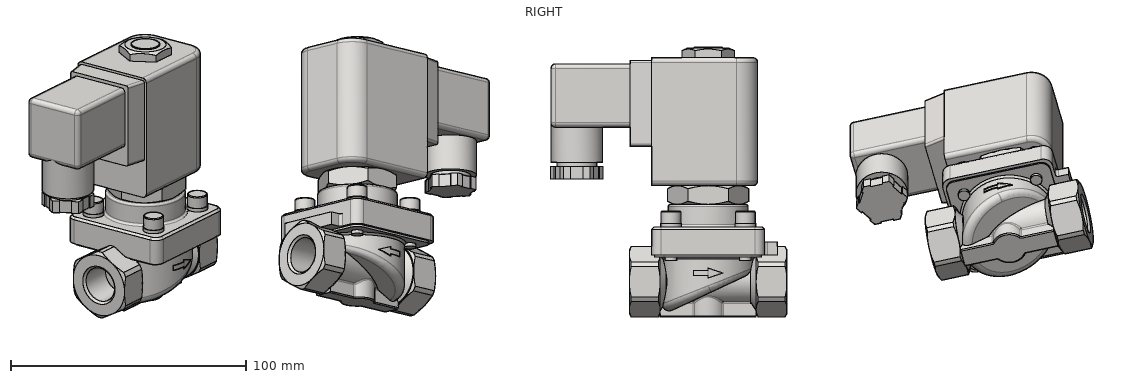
import cadquery as cq
import math

COS30 = math.cos(math.radians(30))

PORT_LENGTH = 67.0
PORT_HEX_FLATS = 27.0
PORT_HEX_ROUND_D = 30.0
PORT_HEX_INNER_Y = 20.4
PORT_HEX_DROP = 0.8
PORT_BORE_D = 14.95
PORT_MOUTH_D = 17.0
PORT_BORE_DEPTH = 15.0
port_end_y = PORT_LENGTH / 2

PIPE_R = 9.65
NECK_Y = 18.0
NECK_R = 13.0
BOWL_R = 20.0
BOWL_FLOOR_Z = -5.0
BOWL_FLARE = 0.9
BOWL_FLOOR_SLOPE = 25.0
BOWL_EDGE_R = 3.0
BOSS_R = 7.4
WEB_WIDTH = 8.4
WEB_ROOT_R = 0.8
FOOT_CHAMFER = 0.5
body_bottom_z = -PORT_HEX_ROUND_D / 2

ARROW_Z = 3.7
ARROW_LENGTH = 12.4
ARROW_HEAD_HEIGHT = 4.2
ARROW_SHAFT_HEIGHT = 2.2
ARROW_RELIEF = 0.4

FLANGE_SIZE = 48.0
FLANGE_CORNER_R = 4.0
FLANGE_CHAMFER = 1.0
FLANGE_BOTTOM_Z = 11.4
FLANGE_TOP_Z = 23.3
SEAT_SIZE = 45.4
SEAT_THICKNESS = 0.9
TAB_WIDTH = 27.9
TAB_REACH = 5.4
TAB_HEIGHT = 5.5
TAB_ROOT_R = 1.2
COLLAR_D = 34.0
COLLAR_TOP_Z = 32.9
COLLAR_EDGE_R = 1.0
seat_bottom_z = FLANGE_BOTTOM_Z - SEAT_THICKNESS

SCREW_PITCH = 31.6
SCREW_HEAD_D = 8.5
SCREW_HEAD_CHAMFER = 0.4
SCREW_TOP_Z = 30.0
WASHER_D = 8.9
WASHER_THICKNESS = 1.5
SCREW_SHANK_D = 5.0
SCREW_END_Z = 9.0

STEM_NUT_FLATS = 30.0
STEM_NUT_DROP = 1.3
COIL_BOTTOM_Z = 40.8
COIL_TOP_Z = 95.2
COIL_WIDTH = 36.0
COIL_FRONT_Y = -24.0
COIL_BACK_Y = 21.0
COIL_CORNER_R = 9.0
COIL_EDGE_R = 2.0
TOP_NUT_FLATS = 19.4
TOP_NUT_FACE_D = 17.5
TOP_NUT_DROP = 1.1
TOP_NUT_TOP_Z = 99.3
STUD_D = 12.4
STUD_CHAMFER = 0.3
STUD_TOP_Z = 99.7

ADAPTER_END_Y = -33.2
ADAPTER_WIDTH = 34.0
ADAPTER_END_WIDTH = 30.2
ADAPTER_BOTTOM_Z = 57.5
ADAPTER_TOP_Z = 94.1
ADAPTER_EDGE_R = 1.0
PLUG_END_Y = -66.8
PLUG_SIZE = 27.0
PLUG_TOP_Z = 92.6
PLUG_EDGE_R = 2.0
OUTLET_D = 22.0
OUTLET_BOTTOM_Z = 50.7
GLAND_NECK_D = 17.0
GLAND_TOP_Z = 49.0
GLAND_BOTTOM_Z = 43.6
GLAND_FLATS = 19.4
GLAND_RECESS_WIDTH = 5.2
GLAND_RECESS_DEPTH = 0.6
plug_bottom_z = PLUG_TOP_Z - PLUG_SIZE
outlet_y = PLUG_END_Y + OUTLET_D / 2


def block(width, y_start, y_end, z_bottom, z_top):
    """Box centred on x = 0."""
    depth = y_end - y_start
    return (
        cq.Workplane("XY")
        .box(width, depth, z_top - z_bottom, centered=(True, False, False))
        .translate((0, y_start, z_bottom))
    )


def disc(diameter, z_bottom, z_top, x=0.0, y=0.0):
    """Vertical cylinder."""
    height = z_top - z_bottom
    return cq.Workplane("XY").circle(diameter / 2).extrude(height).translate((x, y, z_bottom))


def turned(profile):
    """Solid of revolution about Z from (radius, height) points."""
    return cq.Workplane("XZ").polyline(profile).close().revolve(360, (0, 0, 0), (0, 1, 0))


def hexagon(flats, height):
    """Hexagonal prism standing on z = 0 with corners on the Y axis."""
    prism = cq.Workplane("XY").polygon(6, flats / COS30).extrude(height)
    return prism.rotate((0, 0, 0), (0, 0, 1), 30)


def chamfered_hexagon(flats, height, rim_r, face_r, drop):
    """Hexagonal prism turned down to rim_r and coned to face_r at both ends."""
    envelope = turned([
        (0, 0),
        (face_r, 0),
        (rim_r, drop),
        (rim_r, height - drop),
        (face_r, height),
        (0, height),
    ])
    return hexagon(flats, height).intersect(envelope)


def make_port():
    """Hexagonal pipe end on the +Y side with its coned neck."""
    height = port_end_y - PORT_HEX_INNER_Y
    face_r = PORT_HEX_FLATS / 2
    rim_r = PORT_HEX_ROUND_D / 2
    port = chamfered_hexagon(PORT_HEX_FLATS, height, rim_r, face_r, PORT_HEX_DROP)
    neck_length = PORT_HEX_INNER_Y - NECK_Y
    neck = turned([(0, 0), (NECK_R, 0), (PIPE_R, -neck_length), (0, -neck_length)])
    port = port.union(neck)
    return port.rotate((0, 0, 0), (1, 0, 0), -90).translate((0, PORT_HEX_INNER_Y, 0))


def make_bore():
    """Blind bore of the +Y port with its chamfered mouth."""
    mouth_depth = (PORT_MOUTH_D - PORT_BORE_D) / 2
    bore = turned([
        (0, 0),
        (PORT_MOUTH_D / 2, 0),
        (PORT_BORE_D / 2, -mouth_depth),
        (PORT_BORE_D / 2, -PORT_BORE_DEPTH),
        (0, -PORT_BORE_DEPTH),
    ])
    return bore.rotate((0, 0, 0), (1, 0, 0), -90).translate((0, port_end_y, 0))


def make_bowl():
    """Round chamber with a sloping floor that is higher on the +Y side."""
    rise = BOWL_R * math.tan(math.radians(BOWL_FLOOR_SLOPE))
    side = (
        cq.Workplane("YZ")
        .polyline([
            (-BOWL_R, BOWL_FLOOR_Z - rise),
            (BOWL_R, BOWL_FLOOR_Z + rise),
            (BOWL_R, seat_bottom_z),
            (-BOWL_R, seat_bottom_z),
        ])
        .close()
        .extrude(BOWL_R, both=True)
    )
    bowl = disc(2 * BOWL_R, BOWL_FLOOR_Z - rise, seat_bottom_z).intersect(side)
    return bowl.faces("<Z").edges().fillet(BOWL_EDGE_R)


def make_flare():
    """Coned rim where the bowl widens into the seat plate."""
    flare_bottom_z = seat_bottom_z - BOWL_FLARE
    return turned([
        (0, flare_bottom_z),
        (BOWL_R, flare_bottom_z),
        (BOWL_R + BOWL_FLARE, seat_bottom_z),
        (0, seat_bottom_z),
    ])


def make_foot():
    """Bottom web between the ports with the round boss in its middle."""
    web = block(WEB_WIDTH, -PORT_HEX_INNER_Y, PORT_HEX_INNER_Y, body_bottom_z, 0)
    boss = disc(2 * BOSS_R, body_bottom_z, 0)
    foot = web.union(boss)
    inner_corners = cq.selectors.BoxSelector(
        (-BOSS_R, -BOSS_R, body_bottom_z), (BOSS_R, BOSS_R, 0)
    )
    foot = foot.edges("|Z").edges(inner_corners).fillet(WEB_ROOT_R)
    return foot.faces("<Z").edges("not #Y").chamfer(FOOT_CHAMFER)


def make_arrows():
    """Arrows toward +Y standing proud of the bowl on both sides."""
    tip = ARROW_LENGTH / 2
    head = ARROW_HEAD_HEIGHT / 2
    shaft = ARROW_SHAFT_HEIGHT / 2
    outer_r = BOWL_R + ARROW_RELIEF
    arrow = (
        cq.Workplane("YZ")
        .polyline([
            (tip, 0),
            (0, head),
            (0, shaft),
            (-tip, shaft),
            (-tip, -shaft),
            (0, -shaft),
            (0, -head),
        ])
        .close()
        .extrude(outer_r, both=True)
        .translate((0, 0, ARROW_Z))
    )
    return arrow.intersect(disc(2 * outer_r, ARROW_Z - head, ARROW_Z + head))


def make_body():
    """Cast body: two ports, pipe, bowl, bottom web and boss."""
    pipe = cq.Workplane("XZ").circle(PIPE_R).extrude(NECK_Y, both=True)
    trunk = pipe.union(make_foot())
    foot_seam = cq.selectors.BoxSelector((-BOSS_R, 1 - NECK_Y, -PIPE_R), (BOSS_R, NECK_Y - 1, 0))
    trunk = trunk.edges(foot_seam).fillet(WEB_ROOT_R)
    port = make_port()
    body = trunk.union(port).union(port.mirror("XZ"))
    return body.union(make_bowl()).union(make_flare()).union(make_arrows())


def make_cover():
    """Square flange with seat plate, side tab and round collar."""
    half = FLANGE_SIZE / 2
    flange = block(FLANGE_SIZE, -half, half, FLANGE_BOTTOM_Z, FLANGE_TOP_Z)
    flange = flange.edges("|Z").fillet(FLANGE_CORNER_R)
    flange = flange.faces(">Z").edges().chamfer(FLANGE_CHAMFER)
    seat = block(SEAT_SIZE, -SEAT_SIZE / 2, SEAT_SIZE / 2, seat_bottom_z, FLANGE_BOTTOM_Z)
    seat = seat.edges("|Z").fillet(FLANGE_CORNER_R)
    edge = TAB_WIDTH / 2
    tab = (
        cq.Workplane("XY")
        .moveTo(-edge - TAB_ROOT_R, half)
        .radiusArc((-edge, half + TAB_ROOT_R), -TAB_ROOT_R)
        .lineTo(-edge, half + TAB_REACH)
        .lineTo(edge, half + TAB_REACH)
        .lineTo(edge, half + TAB_ROOT_R)
        .radiusArc((edge + TAB_ROOT_R, half), -TAB_ROOT_R)
        .lineTo(edge, 0)
        .lineTo(-edge, 0)
        .close()
        .extrude(TAB_HEIGHT)
        .translate((0, 0, FLANGE_BOTTOM_Z))
    )
    collar = disc(COLLAR_D, FLANGE_TOP_Z, COLLAR_TOP_Z).faces(">Z").edges().fillet(COLLAR_EDGE_R)
    root_r = COLLAR_D / 2 + COLLAR_EDGE_R
    root = (
        cq.Workplane("XZ")
        .moveTo(0, FLANGE_TOP_Z)
        .lineTo(root_r, FLANGE_TOP_Z)
        .radiusArc((COLLAR_D / 2, FLANGE_TOP_Z + COLLAR_EDGE_R), COLLAR_EDGE_R)
        .lineTo(0, FLANGE_TOP_Z + COLLAR_EDGE_R)
        .close()
        .revolve(360, (0, 0, 0), (0, 1, 0))
    )
    return flange.union(seat).union(tab).union(collar).union(root)


def make_screw(x, y):
    """Flange screw with washer and protruding shank end."""
    washer_top_z = FLANGE_TOP_Z + WASHER_THICKNESS
    head = disc(SCREW_HEAD_D, washer_top_z, SCREW_TOP_Z, x, y)
    head = head.faces(">Z").edges().chamfer(SCREW_HEAD_CHAMFER)
    washer = disc(WASHER_D, FLANGE_TOP_Z, washer_top_z, x, y)
    shank = disc(SCREW_SHANK_D, SCREW_END_Z, FLANGE_TOP_Z, x, y)
    return head.union(washer).union(shank)


def make_coil():
    """Coil housing with rounded back corners, between stem nut and top nut."""
    coil = block(COIL_WIDTH, COIL_FRONT_Y, COIL_BACK_Y, COIL_BOTTOM_Z, COIL_TOP_Z)
    coil = coil.edges("|Z and >Y").fillet(COIL_CORNER_R)
    rims = coil.faces(">Z or <Z").edges("not <Y")
    return rims.fillet(COIL_EDGE_R)


def make_nuts():
    """Stem nut under the coil, top nut and stud end above it."""
    stem_height = COIL_BOTTOM_Z - COLLAR_TOP_Z
    stem_face_r = STEM_NUT_FLATS / 2
    stem_nut = chamfered_hexagon(
        STEM_NUT_FLATS, stem_height, stem_face_r / COS30, stem_face_r, STEM_NUT_DROP
    ).translate((0, 0, COLLAR_TOP_Z))
    top_nut_bottom_z = COIL_TOP_Z - TOP_NUT_DROP
    top_nut = chamfered_hexagon(
        TOP_NUT_FLATS,
        TOP_NUT_TOP_Z - top_nut_bottom_z,
        TOP_NUT_FLATS / 2 / COS30,
        TOP_NUT_FACE_D / 2,
        TOP_NUT_DROP,
    ).translate((0, 0, top_nut_bottom_z))
    stud = disc(STUD_D, COIL_TOP_Z, STUD_TOP_Z).faces(">Z").edges().chamfer(STUD_CHAMFER)
    return stem_nut.union(top_nut).union(stud)


def make_adapter():
    """Tapered plate between coil and plug."""
    adapter = (
        cq.Workplane("XY")
        .polyline([
            (-ADAPTER_WIDTH / 2, COIL_FRONT_Y),
            (ADAPTER_WIDTH / 2, COIL_FRONT_Y),
            (ADAPTER_END_WIDTH / 2, ADAPTER_END_Y),
            (-ADAPTER_END_WIDTH / 2, ADAPTER_END_Y),
        ])
        .close()
        .extrude(ADAPTER_TOP_Z - ADAPTER_BOTTOM_Z)
        .translate((0, 0, ADAPTER_BOTTOM_Z))
    )
    return adapter.faces("<X or >X").edges("<Z or >Z").fillet(ADAPTER_EDGE_R)


def make_gland_nut():
    """Hexagonal cable gland nut with a shallow recess along each flat."""
    height = GLAND_TOP_Z - GLAND_BOTTOM_Z
    nut = hexagon(GLAND_FLATS, height)
    recess_x = GLAND_FLATS / 2 - GLAND_RECESS_DEPTH / 2
    recess = (
        cq.Workplane("XY")
        .box(GLAND_RECESS_DEPTH, GLAND_RECESS_WIDTH, height, centered=(True, True, False))
        .translate((recess_x, 0, 0))
    )
    for side in range(6):
        nut = nut.cut(recess.rotate((0, 0, 0), (0, 0, 1), 60 * side))
    return nut.translate((0, outlet_y, GLAND_BOTTOM_Z))


def make_plug():
    """Plug housing with its downward cable outlet and gland."""
    housing = block(PLUG_SIZE, PLUG_END_Y, ADAPTER_END_Y, plug_bottom_z, PLUG_TOP_Z)
    housing = housing.edges("|Y or <Y").fillet(PLUG_EDGE_R)
    outlet_top_z = plug_bottom_z + PLUG_EDGE_R
    outlet = disc(OUTLET_D, OUTLET_BOTTOM_Z, outlet_top_z, y=outlet_y)
    neck = disc(GLAND_NECK_D, GLAND_TOP_Z, OUTLET_BOTTOM_Z, y=outlet_y)
    return housing.union(outlet).union(neck).union(make_gland_nut())


valve = make_body().union(make_cover())
for screw_x in (-SCREW_PITCH / 2, SCREW_PITCH / 2):
    for screw_y in (-SCREW_PITCH / 2, SCREW_PITCH / 2):
        valve = valve.union(make_screw(screw_x, screw_y))
valve = valve.union(make_coil()).union(make_nuts())
valve = valve.union(make_adapter()).union(make_plug())

bore = make_bore()
result = valve.cut(bore).cut(bore.mirror("XZ"))